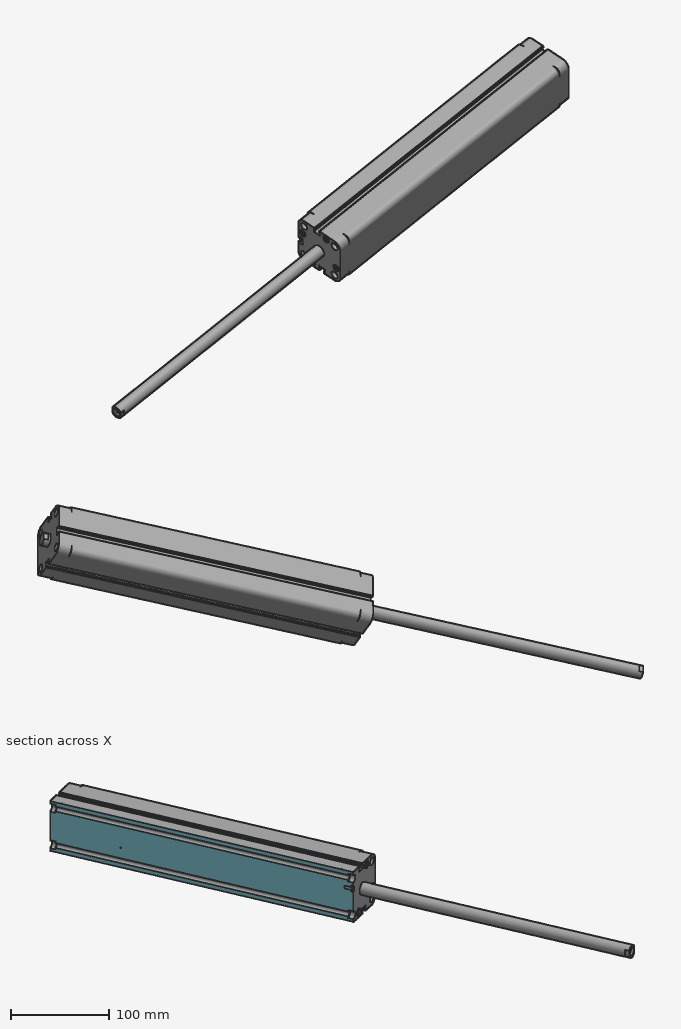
import cadquery as cq

total_length = 658.5
body_width = 58.0
half_width = body_width / 2

rear_stub = 7.0
body_length = 345.0
cap_length = 14.0
profile_corner_radius = 6.0
cap_corner_radius = 8.5

rod_diameter = 14.0
flat_width = 12.0
flat_length = 4.5
end_hole_diameter = 4.95
end_hole_rim_diameter = 9.0
end_hole_depth = 13.0

slot_offset = 3.0
slot_mouth = 5.0
slot_cavity = 8.5
slot_lip = 2.0
slot_chamfer = 0.8
slot_depth = 6.0

screw_offset = 21.0
screw_diameter = 4.95
screw_head_diameter = 8.5
screw_head_depth = 6.0

port_offset = 23.0
port_shift = 9.0
port_diameter = 8.0
port_depth = 2.0
port_inner_diameter = 4.95
port_inner_depth = 10.0

rear_end = total_length / 2
front_end = -total_length / 2
body_rear = rear_end - rear_stub
body_front = body_rear - body_length


def section_plane(y):
    """Plane across the long axis: local x is X, local y is Z, extrusion goes towards -Y."""
    return cq.Workplane("XZ", origin=(0, y, 0))


def pins(y_start, points, diameter, length):
    """Round cutters at the given (x, z) points, running towards -Y."""
    return section_plane(y_start).pushPoints(points).circle(diameter / 2).extrude(length)


def square_bar(y_start, length, corner_radius):
    bar = section_plane(y_start).rect(body_width, body_width).extrude(length)
    return bar.edges("|Y").fillet(corner_radius)


def t_slot(turn):
    """Cutter for a T-slot with a chamfered mouth in the top face, turned about the long axis."""
    floor = half_width - slot_depth
    lip_bottom = half_width - slot_lip
    lip_top = half_width - slot_chamfer
    half_mouth = slot_mouth / 2
    half_cavity = slot_cavity / 2
    half_opening = half_mouth + slot_chamfer
    right_side = [
        (half_cavity, floor),
        (half_cavity, lip_bottom),
        (half_mouth, lip_bottom),
        (half_mouth, lip_top),
        (half_opening, half_width),
    ]
    left_side = [(-x, z) for x, z in reversed(right_side)]
    cutter = section_plane(body_rear).polyline(right_side + left_side).close().extrude(body_length)
    return cutter.translate((-slot_offset, 0, 0)).rotate((0, 0, 0), (0, 1, 0), turn)


def rod():
    bar = section_plane(rear_end).circle(rod_diameter / 2).extrude(total_length)
    for flat_start in (rear_end, front_end + flat_length):
        around = section_plane(flat_start).rect(2 * rod_diameter, 2 * rod_diameter).extrude(flat_length)
        tongue = section_plane(flat_start).rect(flat_width, 2 * rod_diameter).extrude(flat_length)
        bar = bar.cut(around.cut(tongue))
    return bar


def end_hole():
    """Cutter for the blind hole in the rod's front end, with a 45 degree countersink."""
    hole_radius = end_hole_diameter / 2
    rim_radius = end_hole_rim_diameter / 2
    sink_depth = rim_radius - hole_radius
    half_section = [
        (0, front_end),
        (rim_radius, front_end),
        (hole_radius, front_end + sink_depth),
        (hole_radius, front_end + end_hole_depth),
        (0, front_end + end_hole_depth),
    ]
    return cq.Workplane("XY").polyline(half_section).close().revolve(360, (0, 0), (0, 1))


body = square_bar(body_rear - cap_length, body_length - 2 * cap_length, profile_corner_radius)
for cap_start in (body_rear, body_front + cap_length):
    body = body.union(square_bar(cap_start, cap_length, cap_corner_radius))

for slot_turn in (0, -90, 180):
    body = body.cut(t_slot(slot_turn))

corners = [(x, z) for x in (-screw_offset, screw_offset) for z in (-screw_offset, screw_offset)]
body = body.cut(pins(body_rear, corners, screw_diameter, body_length))
for head_start in (body_rear, body_front + screw_head_depth):
    body = body.cut(pins(head_start, corners, screw_head_diameter, screw_head_depth))

ports = [
    (port_shift, port_offset),
    (port_offset, -port_shift),
    (-port_shift, -port_offset),
    (-port_offset, port_shift),
]
for diameter, depth in ((port_diameter, port_depth), (port_inner_diameter, port_inner_depth)):
    body = body.cut(pins(body_front + depth, ports, diameter, depth))

result = body.union(rod()).cut(end_hole())